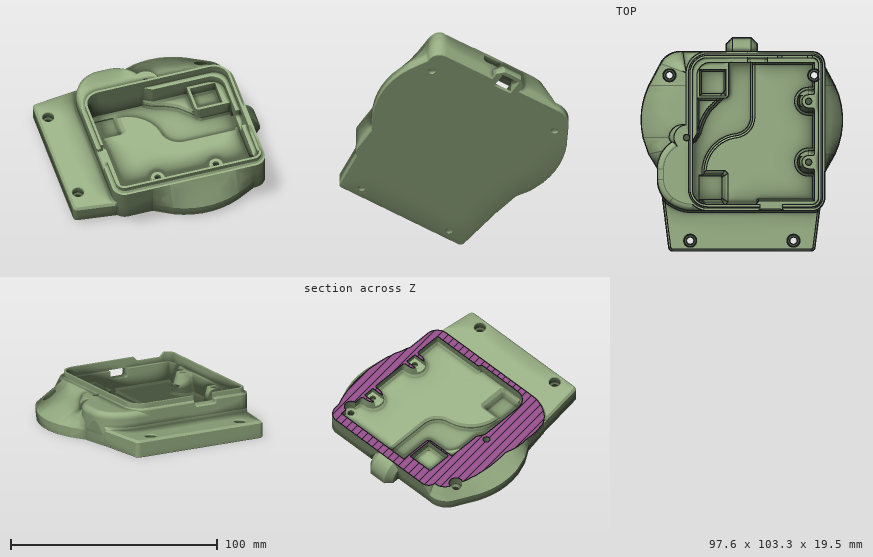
import cadquery as cq
import math

TOTAL_H = 19.5
RIM_FOOT_Z = 17.2
SHOULDER_Z = 16.5
LEDGE_Z = 15.0
FLOOR_Z = 5.1
CHANNEL_Z = 2.1
PLATE_H = 8.5
BREAK = 1.0

BOX_LEFT, BOX_RIGHT = -27.0, 40.2
BOX_BACK, BOX_FRONT = 33.0, -43.9
LEFT_R, RIGHT_R = 10.3, 6.2
SHOULDER_W = 1.9
RIM_INSET = 3.0
FLANGE_HALF_W = 48.8
FLANGE_END_X, FLANGE_END_Y = 45.1, 16.5
LEFT_SPLIT_Y = -8.6
LOBE_LEFT, LOBE_Y = -40.9, -23.8
LOBE_FRONT_X = -23.5
LOBE_FRONT_R, LOBE_SIDE_R, LOBE_BACK_R = 19.8, 13.8, 15.6
LOBE_BACK_TURN = math.radians(58)
LOBE_INNER_X = -14.5
UNDERCUT_LEAN = 1.4
LOBE_FILLET = 3.0
LOBE_SIDE_Z = SHOULDER_Z - LOBE_FILLET
PLATE_FRONT = -63.5
PLATE_FRONT_HALF, PLATE_BACK_HALF = 35.2, 38.5
PLATE_BACK = -37.2
PLATE_R = 2.1
BASE_BREAK = 0.3

CAV_LEFT, CAV_RIGHT = -21.8, 35.2
CAV_BACK, CAV_FRONT = 27.9, -39.2
CAV_STEP_X = 8.3
CAV_STEP_SLANT = 1.4
CAV_CORNER_R = 6.7

BOSS_X = 32.3
BOSS_YS = (9.0, -20.4)
BOSS_TOP_R, BOSS_BASE_R = 3.2, 5.8
NUT_HALF_W, NUT_H, NUT_Z = 2.8, 2.6, 7.2
BOSS_WEB_R = 1.2
BOSS_HOLE_D = 3.1
BOSS_HOLE_DEPTH = 9.9
SIDE_BOSS = (BOX_LEFT + 0.2, LEFT_SPLIT_Y)
SIDE_BOSS_R = 6.1
SIDE_BOSS_DROP = 8.3
SIDE_BOSS_SPREAD = 4.3

SCREW_D, SCREW_HEAD_D = 3.5, 5.7
SCREW_SEAT_Z = 4.8
HEAD_BREAK = 0.3
FLANGE_SCREW_X, FLANGE_SCREW_Y = 35.0, 21.6
PLATE_SCREW_X, PLATE_SCREW_Y = 25.0, -58.5

EPS = 0.01


def block(x0, x1, y0, y1, z0, z1):
    return cq.Workplane("XY").box(x1 - x0, y1 - y0, z1 - z0, centered=False).translate((x0, y0, z0))


def cylinder(x, y, z0, z1, diameter):
    return cq.Workplane("XY", origin=(x, y, z0)).circle(diameter / 2).extrude(z1 - z0)


def on_circle(center, radius, angle):
    return (center[0] + radius * math.cos(angle), center[1] + radius * math.sin(angle))


def box_outline(inset, z):
    """Rounded box outline, moved inwards by the inset."""
    x0, x1 = BOX_LEFT + inset, BOX_RIGHT - inset
    y0, y1 = BOX_FRONT + inset, BOX_BACK - inset
    rl, rr = LEFT_R - inset, RIGHT_R - inset
    return (
        cq.Workplane("XY", origin=(0, 0, z))
        .moveTo(x0 + rl, y0)
        .lineTo(x1 - rr, y0)
        .radiusArc((x1, y0 + rr), -rr)
        .lineTo(x1, y1 - rr)
        .radiusArc((x1 - rr, y1), -rr)
        .lineTo(x0 + rl, y1)
        .radiusArc((x0, y1 - rl), -rl)
        .lineTo(x0, y0 + rl)
        .radiusArc((x0 + rl, y0), -rl)
        .close()
    )


def rim_body():
    foot_h = RIM_FOOT_Z - SHOULDER_Z
    foot = box_outline(SHOULDER_W - foot_h, SHOULDER_Z).extrude(foot_h, taper=45)
    return box_outline(SHOULDER_W, SHOULDER_Z).extrude(TOTAL_H - SHOULDER_Z).union(foot)


def lobe_outline(z):
    """Lobe beside the box: tangent rounds of three radii."""
    front_y = BOX_FRONT + LOBE_FRONT_R
    step = LOBE_FRONT_R - LOBE_SIDE_R
    turn = math.acos((LOBE_FRONT_X - LOBE_LEFT - LOBE_SIDE_R) / step)
    joint = on_circle((LOBE_FRONT_X, front_y), LOBE_FRONT_R, math.pi + turn)
    side_y = front_y - step * math.sin(turn)
    back_center = (LOBE_LEFT + LOBE_BACK_R, LOBE_Y)
    end = on_circle(back_center, LOBE_BACK_R, math.pi - LOBE_BACK_TURN)
    return (
        cq.Workplane("XY", origin=(0, 0, z))
        .moveTo(LOBE_INNER_X, BOX_FRONT)
        .lineTo(LOBE_FRONT_X, BOX_FRONT)
        .radiusArc(joint, LOBE_FRONT_R)
        .radiusArc((LOBE_LEFT, side_y), LOBE_SIDE_R)
        .lineTo(LOBE_LEFT, LOBE_Y)
        .radiusArc(end, LOBE_BACK_R)
        .lineTo(LOBE_INNER_X, end[1])
        .close()
    )


def lobe_undercut():
    """Straight side below the lobe, leaning out to the round above."""
    outside_x = LOBE_LEFT - 3.1

    def level(z, shift):
        return (
            cq.Workplane("XY", origin=(-shift, 0, z))
            .polyline([
                (LOBE_LEFT, LOBE_Y),
                (-PLATE_BACK_HALF, PLATE_BACK),
                (outside_x, PLATE_BACK),
                (outside_x, LOBE_Y),
            ])
            .close()
        )

    upper = cq.Solid.makeLoft([level(FLOOR_Z, 0).val(), level(LOBE_SIDE_Z, UNDERCUT_LEAN).val()], True)
    return level(-1, 0).extrude(FLOOR_Z + 1).union(cq.Workplane(upper))


def lobe_body():
    body = lobe_outline(0).extrude(SHOULDER_Z)
    body = body.faces(">Z").edges("not >X").edges("not >Y").fillet(LOBE_FILLET)
    return body.cut(lobe_undercut())


def plate_outline():
    return (
        cq.Workplane("XY")
        .polyline([
            (-PLATE_FRONT_HALF, PLATE_FRONT),
            (PLATE_FRONT_HALF, PLATE_FRONT),
            (PLATE_BACK_HALF, PLATE_BACK),
            (-PLATE_BACK_HALF, PLATE_BACK),
        ])
        .close()
    )


def plate_body():
    plate = plate_outline().extrude(PLATE_H).edges("|Z and <Y").fillet(PLATE_R)
    plate = plate.faces(">Z").chamfer(BREAK)
    return plate.faces("<Z").edges("<Y").chamfer(BASE_BREAK)


def wall_foot():
    """Sloped strip where the wall and the lobe meet the plate."""
    walls = box_outline(-BREAK, PLATE_H).extrude(BREAK, taper=45)
    lobe = lobe_outline(PLATE_H).offset2D(BREAK).extrude(BREAK)
    lobe = lobe.faces(">Z").edges().chamfer(BREAK - EPS)
    return walls.union(lobe).intersect(plate_outline().extrude(TOTAL_H))


INSIDE = 14.5


def slope(lower, upper, upper_z):
    edge = lower(cq.Workplane("XY")).extrude(FLOOR_Z)
    low = lower(cq.Workplane("XY", origin=(0, 0, FLOOR_Z))).val()
    high = upper(cq.Workplane("XY", origin=(0, 0, upper_z))).val()
    return edge.union(cq.Workplane(cq.Solid.makeLoft([low, high], True)))


RIGHT_FLANGE_BACK, RIGHT_FLANGE_FRONT = 25.8, -25.3


def right_flange():
    inner_x = BOX_RIGHT - INSIDE

    def lower(plane):
        return (
            plane.moveTo(inner_x, RIGHT_FLANGE_BACK)
            .lineTo(BOX_RIGHT, RIGHT_FLANGE_BACK)
            .lineTo(FLANGE_END_X, FLANGE_END_Y)
            .threePointArc((FLANGE_HALF_W, 0), (FLANGE_END_X, -FLANGE_END_Y))
            .lineTo(BOX_RIGHT, RIGHT_FLANGE_FRONT)
            .lineTo(inner_x, RIGHT_FLANGE_FRONT)
            .close()
        )

    def upper(plane):
        return (
            plane.moveTo(inner_x, RIGHT_FLANGE_BACK)
            .lineTo(BOX_RIGHT - EPS, RIGHT_FLANGE_BACK)
            .lineTo(BOX_RIGHT, FLANGE_END_Y)
            .lineTo(BOX_RIGHT, -FLANGE_END_Y)
            .lineTo(BOX_RIGHT - EPS, RIGHT_FLANGE_FRONT)
            .lineTo(inner_x, RIGHT_FLANGE_FRONT)
            .close()
        )

    return slope(lower, upper, SHOULDER_Z)


LEFT_CORNER_MID = (-36.0, 31.2)
LEFT_CORNER_END = (-39.5, 27.3)
FAN_X = -28.5
SAG = FLANGE_HALF_W - FLANGE_END_X
FLANGE_R = (FLANGE_END_Y**2 + SAG**2) / (2 * SAG)


def flange_x(y):
    return FLANGE_HALF_W - FLANGE_R + math.sqrt(FLANGE_R**2 - y**2)


def left_flange():
    inner_x = BOX_LEFT + INSIDE
    split_x = -flange_x(LEFT_SPLIT_Y)

    def lower(plane):
        return (
            plane.moveTo(inner_x, BOX_BACK)
            .lineTo(FAN_X, BOX_BACK)
            .lineTo(FAN_X - EPS, BOX_BACK)
            .threePointArc(LEFT_CORNER_MID, LEFT_CORNER_END)
            .lineTo(-FLANGE_END_X, FLANGE_END_Y)
            .threePointArc((-FLANGE_HALF_W, 0), (split_x, LEFT_SPLIT_Y))
            .lineTo(inner_x, LEFT_SPLIT_Y)
            .close()
        )

    def upper(plane):
        return (
            plane.moveTo(inner_x, BOX_BACK)
            .lineTo(BOX_LEFT + LEFT_R, BOX_BACK)
            .radiusArc((BOX_LEFT, BOX_BACK - LEFT_R), -LEFT_R)
            .lineTo(BOX_LEFT, BOX_BACK - LEFT_R - EPS)
            .lineTo(BOX_LEFT, FLANGE_END_Y)
            .lineTo(BOX_LEFT, LEFT_SPLIT_Y)
            .lineTo(inner_x, LEFT_SPLIT_Y)
            .close()
        )

    return slope(lower, upper, SHOULDER_Z)


LOBE_BLEND = (-37.6, -14.9)
LOBE_OVERLAP = 0.2


def left_flange_to_lobe():
    inner_x = BOX_LEFT + INSIDE
    split_x = -flange_x(LEFT_SPLIT_Y)
    rise = (LOBE_SIDE_Z - FLOOR_Z) / (SHOULDER_Z - FLOOR_Z)
    high_x = split_x + rise * (BOX_LEFT - split_x)

    def lower(plane):
        return (
            plane.moveTo(inner_x, LEFT_SPLIT_Y)
            .lineTo(split_x, LEFT_SPLIT_Y)
            .lineTo(-FLANGE_END_X, -FLANGE_END_Y)
            .lineTo(LOBE_LEFT + LOBE_OVERLAP, LOBE_Y)
            .lineTo(inner_x, LOBE_Y)
            .close()
        )

    def upper(plane):
        return (
            plane.moveTo(inner_x, LEFT_SPLIT_Y)
            .lineTo(high_x, LEFT_SPLIT_Y)
            .lineTo(*LOBE_BLEND)
            .lineTo(LOBE_LEFT + LOBE_OVERLAP, LOBE_Y)
            .lineTo(inner_x, LOBE_Y)
            .close()
        )

    return slope(lower, upper, LOBE_SIDE_Z)


def side_boss():
    x, y = SIDE_BOSS
    low_z = SHOULDER_Z - SIDE_BOSS_DROP
    return cq.Workplane(
        cq.Solid.makeCone(
            SIDE_BOSS_R + SIDE_BOSS_SPREAD, SIDE_BOSS_R, SIDE_BOSS_DROP, pnt=cq.Vector(x, y, low_z)
        )
    )


HOOD_HALF_W = 7.5
HOOD_TIP_Y = 39.8
HOOD_R = 9.4
HOOD_BASE = 0.7
HOOD_WALL = 2.0
HOOD_EDGE = 3.0
HOOD_Y = HOOD_TIP_Y - HOOD_R


def hood_profile(radius, half_w, bottom, front_y):
    tip = HOOD_Y + radius
    diagonal = radius * math.sqrt(0.5)
    return (
        cq.Workplane("YZ", origin=(-half_w, 0, 0))
        .moveTo(front_y, bottom)
        .lineTo(tip, bottom)
        .lineTo(tip, HOOD_BASE)
        .threePointArc((HOOD_Y + diagonal, HOOD_BASE + diagonal), (HOOD_Y, HOOD_BASE + radius))
        .lineTo(front_y, HOOD_BASE + radius)
        .close()
        .extrude(2 * half_w)
    )


def hood_body():
    hood = hood_profile(HOOD_R, HOOD_HALF_W, 0, HOOD_Y - 1)
    low_corner = (-2 * HOOD_HALF_W, HOOD_Y + EPS, EPS)
    high_corner = (2 * HOOD_HALF_W, 2 * HOOD_TIP_Y, TOTAL_H)
    outside = cq.selectors.BoxSelector(low_corner, high_corner)
    return hood.edges(outside).edges("not |X").edges("<X or >X").chamfer(HOOD_EDGE)


def boss(y):
    """Tapered boss, running into the right wall of the cavity."""
    h = LEDGE_Z - FLOOR_Z
    lean = math.degrees(math.atan((BOSS_BASE_R - BOSS_TOP_R) / h))
    wall_x = CAV_RIGHT + 6.2
    return (
        cq.Workplane("XY", origin=(0, 0, FLOOR_Z))
        .moveTo(wall_x, y - BOSS_BASE_R)
        .lineTo(BOSS_X, y - BOSS_BASE_R)
        .threePointArc((BOSS_X - BOSS_BASE_R, y), (BOSS_X, y + BOSS_BASE_R))
        .lineTo(wall_x, y + BOSS_BASE_R)
        .close()
        .extrude(h, taper=lean)
    )


def nut_slot(y):
    """Nut trap, open towards the middle of the cavity."""
    open_x = BOSS_X - BOSS_BASE_R - BREAK
    return block(open_x, BOSS_X + NUT_HALF_W, y - NUT_HALF_W, y + NUT_HALF_W, NUT_Z, NUT_Z + NUT_H)


POCKET_BLOCK_TOP = 11.0
BLOCK_X, BLOCK_Y = -6.3, 10.5
BLOCK_R = 2.1
BLOCK_POCKET_X = (-20.4, -7.5)
BLOCK_POCKET_Y = (11.7, 24.5)


def pocket_block():
    body = block(CAV_LEFT - 5.2, BLOCK_X, BLOCK_Y, CAV_BACK + 5.2, FLOOR_Z, POCKET_BLOCK_TOP)
    return body.edges("|Z and >X and <Y").fillet(BLOCK_R)


def cavity_outline():
    left_wall = BOX_LEFT + RIM_INSET
    front_wall = BOX_FRONT + RIM_INSET
    r = CAV_CORNER_R
    return (
        cq.Workplane("XY", origin=(0, 0, FLOOR_Z))
        .moveTo(CAV_RIGHT, CAV_FRONT)
        .lineTo(CAV_RIGHT, CAV_BACK)
        .lineTo(CAV_LEFT + r, CAV_BACK)
        .radiusArc((CAV_LEFT, CAV_BACK - r), -r)
        .lineTo(CAV_LEFT, LEFT_BANK_START[1])
        .lineTo(left_wall, LEFT_BANK_END[1])
        .lineTo(left_wall, BOX_FRONT + LEFT_R)
        .radiusArc((BOX_LEFT + LEFT_R, front_wall), -(LEFT_R - RIM_INSET))
        .lineTo(CAV_STEP_X - CAV_STEP_SLANT, front_wall)
        .lineTo(CAV_STEP_X, CAV_FRONT)
        .close()
    )


def cavity():
    """Deep pocket with its bosses, sloped at the foot of every wall."""
    room = cavity_outline().extrude(LEDGE_Z - FLOOR_Z + EPS)
    for y in BOSS_YS:
        room = room.cut(boss(y))
    low_corner = (CAV_RIGHT - EPS, CAV_FRONT, FLOOR_Z + 1)
    high_corner = (CAV_RIGHT + EPS, CAV_BACK, LEDGE_Z - 1)
    at_wall = cq.selectors.BoxSelector(low_corner, high_corner)
    room = room.edges(at_wall).edges("not |Z").edges("not |Y").fillet(BOSS_WEB_R)
    room = room.cut(pocket_block())
    room = room.faces("<Z").edges().chamfer(BREAK)
    plain_front = block(BOX_LEFT, CAV_STEP_X - 1, BOX_FRONT, CAV_FRONT + 1, FLOOR_Z, FLOOR_Z + 2 * BREAK)
    return room.union(plain_front.intersect(cavity_outline().extrude(LEDGE_Z)))


BEND_1 = (-3.8, 1.39)
BEND_1_R = 9.1
BEND_2 = (-0.7, -25.2)
BEND_2_R = 17.6
LEFT_BANK_END = (-23.0, -10.5)
LEFT_BANK_START = (-20.9, -6.6)
LEFT_BANK_MID = (-18.7, 0.0)
LEFT_BANK_DIAGONAL = (-15.9, 4.9)
DIAGONAL_RUN = 8.7


def channel_outline(z, widen=0.0):
    """Channel outline at mid wall, moved outwards by widen."""
    r1 = BEND_1_R + widen
    r2 = BEND_2_R - widen
    down = math.atan2(BEND_2[1] - BEND_1[1], BEND_2[0] - BEND_1[0])
    joint = on_circle(BEND_1, r1, down)
    right_x = BEND_1[0] + r1
    low_x = BEND_2[0] - r2
    outside_x = BOX_LEFT - 5.2
    channel_back = BOX_BACK - 3.1
    diag = widen * math.sqrt(0.5)
    diagonal = (LEFT_BANK_DIAGONAL[0] - diag, LEFT_BANK_DIAGONAL[1] + diag)
    block_x = diagonal[0] + DIAGONAL_RUN
    return (
        cq.Workplane("XY", origin=(0, 0, z))
        .moveTo(right_x, channel_back)
        .lineTo(right_x, BEND_1[1])
        .threePointArc(on_circle(BEND_1, r1, down / 2), joint)
        .threePointArc(on_circle(BEND_2, r2, math.pi + down / 2), (low_x, BEND_2[1]))
        .lineTo(low_x, BOX_FRONT)
        .lineTo(outside_x, BOX_FRONT)
        .lineTo(outside_x, LEFT_BANK_END[1] - 5.2)
        .lineTo(LEFT_BANK_END[0] - diag, LEFT_BANK_END[1])
        .lineTo(LEFT_BANK_START[0] - widen, LEFT_BANK_START[1])
        .threePointArc((LEFT_BANK_MID[0] - widen, LEFT_BANK_MID[1] + diag / 2), diagonal)
        .lineTo(block_x, diagonal[1] + DIAGONAL_RUN)
        .lineTo(block_x, channel_back)
        .close()
    )


def channel():
    def ramp(z, start, end):
        low = channel_outline(z, start).val()
        high = channel_outline(z + BREAK, end).val()
        return cq.Workplane(cq.Solid.makeLoft([low, high], True))

    upper_z = FLOOR_Z - BREAK
    cut = ramp(CHANNEL_Z, -BREAK, 0)
    cut = cut.union(channel_outline(CHANNEL_Z + BREAK).extrude(FLOOR_Z - CHANNEL_Z + EPS))
    cut = cut.union(ramp(upper_z, 0, BREAK))
    room = cavity_outline().extrude(LEDGE_Z).translate((0, 0, -FLOOR_Z + CHANNEL_Z))
    return cut.intersect(room).cut(pocket_block())


CORNER_POCKET_X = (-20.8, -9.6)
CORNER_POCKET_Y = (-38.4, -27.3)
CORNER_POCKET_Z = 1.0
CORNER_POCKET_LEAN = 1.4
CORNER_POCKET_SLOPE = 1.4
CORNER_POCKET_CUT = 0.4


def corner_pocket():
    x0, x1 = CORNER_POCKET_X
    y0, y1 = CORNER_POCKET_Y
    lean, flare = CORNER_POCKET_LEAN, CORNER_POCKET_SLOPE

    def level(z, grow):
        right, front, back = x1 + grow, y0 - grow, y1 + grow
        corner = CORNER_POCKET_CUT * (1 + grow)
        return (
            cq.Workplane("XY", origin=(0, 0, z))
            .polyline([
                (x0, front), (right - corner, front), (right, front + corner),
                (right, back - corner), (right - corner, back), (x0, back),
            ])
            .close()
            .val()
        )

    mid_z = FLOOR_Z - flare
    steep = cq.Solid.makeLoft([level(CORNER_POCKET_Z, 0), level(mid_z, lean)], True)
    flared = cq.Solid.makeLoft([level(mid_z, lean), level(FLOOR_Z, lean + flare)], True)
    return cq.Workplane(steep).union(cq.Workplane(flared))


def block_pocket():
    pocket = block(*BLOCK_POCKET_X, *BLOCK_POCKET_Y, FLOOR_Z, POCKET_BLOCK_TOP)
    return pocket.faces("<Z").edges().chamfer(BREAK)


PASSAGE_X = (-5.2, 4.2)
HOOD_HOLLOW_HALF_W = 4.6


def wire_exit():
    """Passage from the channel through the back wall and down through the hood."""
    inner_r = HOOD_R - HOOD_WALL
    passage = block(*PASSAGE_X, CAV_BACK - 1, HOOD_Y, CHANNEL_Z, HOOD_BASE + inner_r)
    return passage.union(hood_profile(inner_r, HOOD_HOLLOW_HALF_W, -1, HOOD_Y - 0.5))


WINDOW_X = (2.7, 12.4)
WINDOW_Z = 10.6
WINDOW_R = 1.2


def back_window():
    opening = block(*WINDOW_X, CAV_BACK - 1, BOX_BACK + 1, WINDOW_Z, LEDGE_Z)
    return opening.edges("|Y and <Z").fillet(WINDOW_R)


DIP_X = (19.4, 31.8)


def back_rim_dip():
    """Shallow dip in the back rim with 45 degree ends."""
    depth = TOTAL_H - RIM_FOOT_Z
    x0, x1 = DIP_X
    return (
        cq.Workplane("XZ", origin=(0, BOX_BACK, 0))
        .polyline([(x0 - depth, TOTAL_H), (x0, RIM_FOOT_Z), (x1, RIM_FOOT_Z), (x1 + depth, TOTAL_H)])
        .close()
        .extrude(BOX_BACK - CAV_BACK)
    )


FRONT_SLOT_X = (8.7, 19.6)
SLOT_BREAK = 0.7
SLOT_CORNER = 0.8


def front_rim_slot():
    x0, x1 = FRONT_SLOT_X
    return block(x0, x1, BOX_FRONT - 1, CAV_FRONT - 1, LEDGE_Z, TOTAL_H + 1)


def front_slot_mouth():
    x0, x1 = FRONT_SLOT_X

    def frame(y, grow):
        left, right, low = x0 - grow, x1 + grow, LEDGE_Z - grow
        return (
            cq.Workplane("XZ", origin=(0, y, 0))
            .polyline([
                (left + SLOT_CORNER, low), (right - SLOT_CORNER, low), (right, low + SLOT_CORNER),
                (right, SHOULDER_Z + EPS), (left, SHOULDER_Z + EPS), (left, low + SLOT_CORNER),
            ])
            .close()
            .val()
        )

    outer = frame(BOX_FRONT - SLOT_BREAK, 2 * SLOT_BREAK)
    inner = frame(BOX_FRONT + 2 * SLOT_BREAK, -SLOT_BREAK)
    return cq.Workplane(cq.Solid.makeLoft([outer, inner], True))


def screw_hole(x, y, surface_z, head_top_z):
    hole = cylinder(x, y, -1, head_top_z, SCREW_D)
    hole = hole.union(cylinder(x, y, SCREW_SEAT_Z, head_top_z, SCREW_HEAD_D))
    r = SCREW_HEAD_D / 2
    edge = cq.Solid.makeCone(r, r + HEAD_BREAK, HEAD_BREAK, pnt=cq.Vector(x, y, surface_z - HEAD_BREAK))
    hole = hole.union(cq.Workplane(edge))
    if head_top_z > surface_z:
        hole = hole.union(cylinder(x, y, surface_z, head_top_z, SCREW_HEAD_D + 2 * HEAD_BREAK))
    return hole


def outer_body():
    body = box_outline(0, 0).extrude(SHOULDER_Z).union(right_flange()).union(left_flange()).clean()
    body = body.faces("<Z").edges("(not |X) or >Y").chamfer(BASE_BREAK)
    for addition in (
        plate_body(), left_flange_to_lobe(), lobe_body(), wall_foot(), side_boss(), hood_body(), rim_body(),
    ):
        body = body.union(addition)
    return body


base = outer_body()
for cutter in (
    box_outline(RIM_INSET, LEDGE_Z).extrude(TOTAL_H),
    cavity(), channel(), corner_pocket(), block_pocket(), wire_exit(), back_window(), back_rim_dip(),
    front_rim_slot(), front_slot_mouth(),
):
    base = base.cut(cutter)
for y in BOSS_YS:
    base = base.cut(nut_slot(y))
    base = base.cut(cylinder(BOSS_X, y, LEDGE_Z - BOSS_HOLE_DEPTH, LEDGE_Z, BOSS_HOLE_D))
base = base.cut(cylinder(*SIDE_BOSS, LEDGE_Z - BOSS_HOLE_DEPTH, TOTAL_H, BOSS_HOLE_D))
for x, y, surface_z, head_top_z in (
    (-PLATE_SCREW_X, PLATE_SCREW_Y, PLATE_H, PLATE_H),
    (PLATE_SCREW_X, PLATE_SCREW_Y, PLATE_H, PLATE_H),
    (FLANGE_SCREW_X, FLANGE_SCREW_Y, FLOOR_Z, LEDGE_Z),
    (-FLANGE_SCREW_X, FLANGE_SCREW_Y, FLOOR_Z, TOTAL_H),
):
    base = base.cut(screw_hole(x, y, surface_z, head_top_z))
result = base